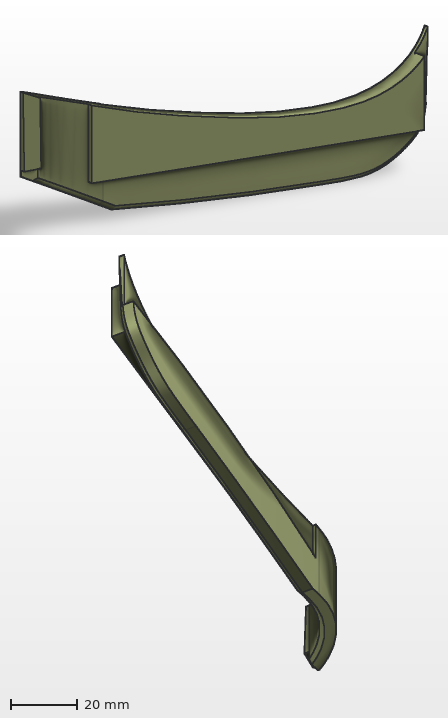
import cadquery as cq
import math

LENGTH = 156.83
WIDTH = 21.65
HEIGHT = 51.01

PLATE_THICKNESS = 5.0
BEND_RADIUS = 52.0
SWEEP_RADIUS = 1190.0
TANGENT_Y = 40.6
PLATE_END_X = 20.1
EDGE_CHAMFER = 1.5

LEDGE_Z = 20.46
SPIKE_Y = 156.4
SPIKE_Z = 44.7
FRONT_BOTTOM_Z = 24.5
BOTTOM_CORNER = (44.9, 3.5)
TOP_CURVE = [
    (150.2, 35.4),
    (139.0, 28.4),
    (117.5, 24.8),
    (78.0, 28.6),
    (44.3, 35.8),
]
BELLY_MID = (82.0, 0.85)
BELLY_END = (120.0, 0.0)
TAIL_CURVE = [(143.6, 3.4), (152.2, 9.6)]
TAIL_TANGENTS = [(1, 0), (0.1, 1)]

SLAB_SLOPE = math.tan(math.radians(4))
RECESS_FRONT_Y = 42.8
RECESS_FRONT_X = 1.05
FLANGE_FRONT_Y = 35.1
FLANGE_REAR_Y = 151.9
FLANGE_FRONT_X = 7.15
FLANGE_BOTTOM_Z = 14.1
FLANGE_OVERLAP = 2.5

LUG_BOTTOM_Z = 26.5
LUG_DEPTH = 6.2
LUG_LEAN = 0.6

MARGIN = 5.0
FACE_TOLERANCE = 0.1


def arc_x(radius, y, offset=0.0):
    """X of a plan arc tangent to the Y direction at TANGENT_Y, offset inwards from the outer face."""
    inner_radius = radius - offset
    return radius - math.sqrt(inner_radius**2 - (y - TANGENT_Y) ** 2)


def side_prism():
    """Side outline in the YZ plane, extruded across the full width."""
    return (
        cq.Workplane("YZ")
        .moveTo(0, FRONT_BOTTOM_Z)
        .lineTo(*BOTTOM_CORNER)
        .threePointArc(BELLY_MID, BELLY_END)
        .spline(TAIL_CURVE + [(LENGTH, LEDGE_Z)], tangents=TAIL_TANGENTS, includeCurrent=True)
        .lineTo(SPIKE_Y, LEDGE_Z)
        .lineTo(SPIKE_Y, SPIKE_Z)
        .spline(TOP_CURVE + [(0, HEIGHT)], includeCurrent=True)
        .close()
        .extrude(WIDTH)
    )


def plan_prism():
    """Constant-thickness curved strip in plan, extruded over the full height."""
    t = PLATE_THICKNESS
    sweep_mid_y = (TANGENT_Y + LENGTH) / 2
    bend_mid_y = TANGENT_Y / 2
    inner_end_y = TANGENT_Y - math.sqrt((BEND_RADIUS - t) ** 2 - (BEND_RADIUS - PLATE_END_X) ** 2)
    inner_mid_y = (TANGENT_Y + inner_end_y) / 2
    return (
        cq.Workplane("XY", origin=(0, 0, -MARGIN))
        .moveTo(arc_x(SWEEP_RADIUS, LENGTH), LENGTH)
        .threePointArc((arc_x(SWEEP_RADIUS, sweep_mid_y), sweep_mid_y), (0, TANGENT_Y))
        .threePointArc((arc_x(BEND_RADIUS, bend_mid_y), bend_mid_y), (arc_x(BEND_RADIUS, 0), 0))
        .lineTo(PLATE_END_X, 0)
        .lineTo(PLATE_END_X, inner_end_y)
        .threePointArc((arc_x(BEND_RADIUS, inner_mid_y, t), inner_mid_y), (t, TANGENT_Y))
        .threePointArc(
            (arc_x(SWEEP_RADIUS, sweep_mid_y, t), sweep_mid_y),
            (arc_x(SWEEP_RADIUS, LENGTH, t), LENGTH),
        )
        .close()
        .extrude(HEIGHT + 2 * MARGIN)
    )


def is_inner_bottom_edge(edge):
    """True for the lower edges of the plate on its inner (concave bend) side."""
    middle = edge.positionAt(0.5)
    radius = BEND_RADIUS if middle.y < TANGENT_Y else SWEEP_RADIUS
    on_inner_face = abs(middle.x - arc_x(radius, middle.y, PLATE_THICKNESS)) < FACE_TOLERANCE
    below_ledge = middle.z < LEDGE_Z
    return on_inner_face and below_ledge and edge.geomType() != "LINE"


def curved_plate(side):
    """Curved strip trimmed to the side outline, with its inner lower edge chamfered."""
    plate = plan_prism().intersect(side)
    inner_edges = [edge for edge in plate.edges().vals() if is_inner_bottom_edge(edge)]
    return plate.newObject(inner_edges).chamfer(EDGE_CHAMFER)


def recess():
    """Wedge removed from the outer face above the ledge."""
    rear_y = LENGTH + MARGIN
    rear_x = RECESS_FRONT_X + SLAB_SLOPE * (rear_y - RECESS_FRONT_Y)
    corners = [
        (-MARGIN, RECESS_FRONT_Y),
        (RECESS_FRONT_X, RECESS_FRONT_Y),
        (rear_x, rear_y),
        (-MARGIN, rear_y),
    ]
    return cq.Workplane("XY").workplane(offset=LEDGE_Z).polyline(corners).close().extrude(HEIGHT)


def flange(side):
    """Straight inner slab, trimmed by the top of the side outline."""
    rear_x = FLANGE_FRONT_X + SLAB_SLOPE * (FLANGE_REAR_Y - FLANGE_FRONT_Y)
    rear_root_x = arc_x(SWEEP_RADIUS, FLANGE_REAR_Y, FLANGE_OVERLAP)
    corners = [
        (FLANGE_OVERLAP, FLANGE_FRONT_Y),
        (FLANGE_FRONT_X, FLANGE_FRONT_Y),
        (rear_x, FLANGE_REAR_Y),
        (rear_root_x, FLANGE_REAR_Y),
    ]
    slab = cq.Workplane("XY").workplane(offset=FLANGE_BOTTOM_Z).polyline(corners).close().extrude(HEIGHT)
    return slab.intersect(side)


def lug(side):
    """Block extending the front end sideways, above the plate's lower front corner."""
    root_x = arc_x(BEND_RADIUS, 0)
    corners = [
        (root_x, LUG_BOTTOM_Z),
        (WIDTH, LUG_BOTTOM_Z),
        (WIDTH - LUG_LEAN, HEIGHT),
        (root_x, HEIGHT),
    ]
    block = cq.Workplane("XZ").polyline(corners).close().extrude(-LUG_DEPTH)
    return block.intersect(side)


side_outline = side_prism()
result = curved_plate(side_outline).union(flange(side_outline)).cut(recess()).union(lug(side_outline))